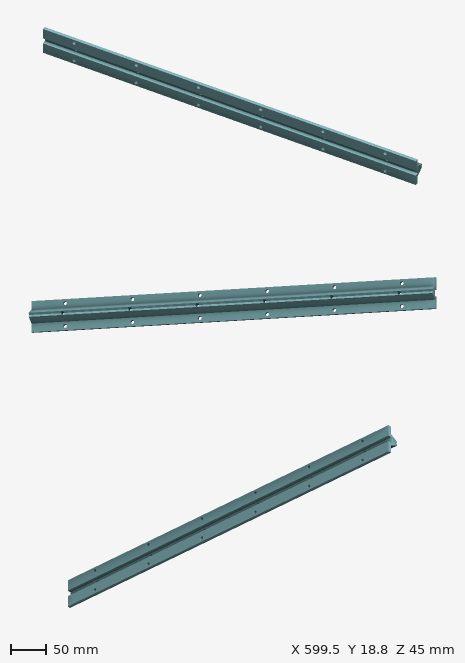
import cadquery as cq

length = 599.5
depth = 18.81
height = 45.0

flange_thickness = 4.9
slot_width = 9.5
slot_depth = 6.0
rib_root_width = 20.0
rib_tip_width = 6.0
tip_groove_depth = 1.5

hole_diameter = 5.5
hole_pitch = 100.0
holes_per_row = 6
first_hole_from_end = 50.0
flange_row_offset = 16.5

front_y = -depth / 2
flange_back_y = front_y + flange_thickness
slot_floor_y = front_y + slot_depth
rib_tip_y = front_y + depth
groove_floor_y = rib_tip_y - tip_groove_depth


def rail_body():
    """Extrude the profile: two flanges split by a slot, backed by a tapered rib with a V groove."""
    groove_floor = (groove_floor_y, 0)
    upper_half = [
        (rib_tip_y, rib_tip_width / 2),
        (flange_back_y, rib_root_width / 2),
        (flange_back_y, height / 2),
        (front_y, height / 2),
        (front_y, slot_width / 2),
        (slot_floor_y, slot_width / 2),
    ]
    lower_half = [(y, -z) for y, z in reversed(upper_half)]
    profile = cq.Workplane("YZ").polyline([groove_floor] + upper_half + lower_half).close()
    return profile.extrude(length / 2, both=True)


def screw_holes():
    """Cylinders along Y for every hole in the slot row and both flange rows."""
    first_x = -length / 2 + first_hole_from_end
    centres = [
        (first_x + i * hole_pitch, z)
        for z in (-flange_row_offset, 0, flange_row_offset)
        for i in range(holes_per_row)
    ]
    plane = cq.Workplane("XZ").pushPoints(centres)
    return plane.circle(hole_diameter / 2).extrude(depth, both=True)


result = rail_body().cut(screw_holes())